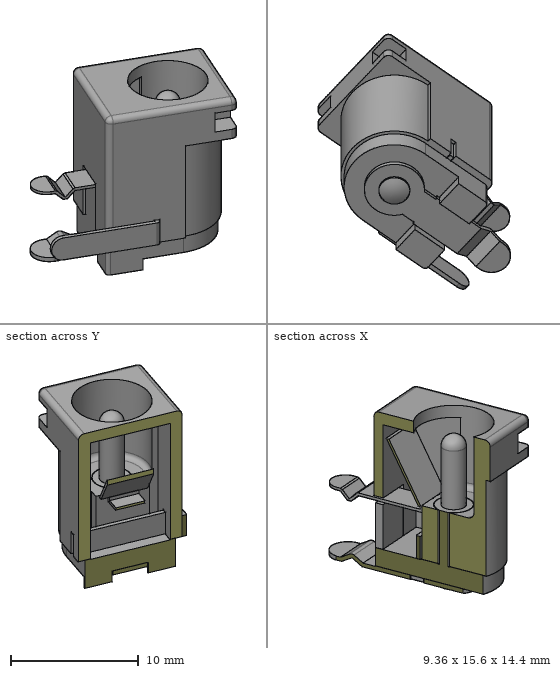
import cadquery as cq
import math


housing_width = 8.99
half_width = housing_width / 2
front_y = -6.47
back_y = 4.32
housing_height = 11.8
edge_radius = 0.5
collar_bottom = 8.28
barrel_radius = 4.2
corner_notch = 1.89
corner_notch_bottom = 9.11
corner_notch_top = 10.81

socket_radius = 3.15
socket_floor_radius = 2.67
socket_floor = 4.68
boss_hole_radius = 1.58

chamber_back_y = -1.2
chamber_front_y = -5.62
chamber_width = 6.86
chamber_top = 10.75
floor_block_width = 4.62
floor_block_front_y = -2.01

base_width = 7.83
base_radius = base_width / 2
base_arc_y = 0.03
base_front_y = -6.32
base_thickness = 1.62
base_edge_radius = 0.31
leg_back_y = -3.32
leg_drop = 0.98
leg_gap = 3.09
tongue_width = 2.96
tongue_top = 3.85
window_width = 3.09
window_top = 4.43
boss_radius = 1.55

pin_radius = 1.0
pin_tip = 10.75
rivet_radius = 1.22
rivet_rim = 0.15
rivet_dome = 0.27

tab_tip_y = -11.28

spring_thickness = 0.25
spring_tab_width = 2.53
spring_tab_bottom = 3.95
spring_bend_y = -8.07
spring_bend_length = 1.62
leaf_width = 4.02
leaf_foot_y = -2.07
leaf_foot = 4.52
leaf_angle = math.radians(60)
leaf_top = 9.67

terminal_thickness = 0.37
terminal_disc_radius = 2.35
terminal_neck_width = 2.71
terminal_neck_end_y = -3.09
terminal_tab_width = 3.0
terminal_bend_y = -7.44
terminal_bend_length = 2.09
terminal_bend_angle = math.radians(30)
terminal_crest_radius = 0.4

side_thickness = 0.37
side_bend_radius = 0.35
side_height = 1.98
side_back_y = -2.15
side_tip_y = -11.17
side_end_recess = 0.22
side_slot_clearance = 0.05


def block(x_range, y_range, z_range):
    """Box between the given limits."""
    (x0, x1), (y0, y1), (z0, z1) = x_range, y_range, z_range
    return cq.Workplane("XY").box(x1 - x0, y1 - y0, z1 - z0, centered=False).translate((x0, y0, z0))


def centred_block(width, y_range, z_range):
    """Box that is symmetric about the plane x = 0."""
    return block((-width / 2, width / 2), y_range, z_range)


def disc(radius, bottom, top):
    """Cylinder around the pin axis."""
    return cq.Workplane("XY").workplane(offset=bottom).circle(radius).extrude(top - bottom)


def round_tip(solid, width, z_range):
    """Trim the end of a tab pointing to -Y to a half circle across its width."""
    z0, z1 = z_range
    radius = width / 2
    centre_y = tab_tip_y + radius
    corners = centred_block(width, (tab_tip_y, centre_y), z_range)
    keep = disc(radius, z0, z1).translate((0, centre_y, 0))
    return solid.cut(corners.cut(keep))


def strip(profile, width):
    """Extrude a (y, z) profile symmetrically along X."""
    return cq.Workplane("YZ").polyline(profile).close().extrude(width / 2, both=True)


def make_housing():
    body = centred_block(housing_width, (front_y, back_y), (0, housing_height))
    body = body.edges("|Z or >Z").fillet(edge_radius)

    barrel = disc(barrel_radius, 0, collar_bottom)
    body = body.cut(centred_block(housing_width, (0, back_y), (0, collar_bottom)).cut(barrel))

    for side in (-1, 1):
        notch_x = sorted((side * half_width, side * (half_width - corner_notch)))
        notch_z = (corner_notch_bottom, corner_notch_top)
        body = body.cut(block(notch_x, (back_y - corner_notch, back_y), notch_z))

    socket = disc(socket_radius, socket_floor, housing_height)
    socket = socket.faces("<Z").edges().fillet(socket_radius - socket_floor_radius)
    chamber = centred_block(chamber_width, (chamber_front_y, chamber_back_y), (0, chamber_top))
    floor_block = centred_block(floor_block_width, (floor_block_front_y, chamber_back_y), (0, socket_floor))
    window = centred_block(window_width, (front_y, chamber_front_y), (0, window_top))
    boss_hole = disc(boss_hole_radius, 0, socket_floor)
    body = body.cut(socket).cut(chamber.cut(floor_block)).cut(window).cut(boss_hole)

    slot_y = (side_back_y - side_thickness - side_slot_clearance, side_back_y + side_slot_clearance)
    slot = centred_block(housing_width, slot_y, (0, side_height + side_slot_clearance))
    return body.cut(slot)


def make_base():
    plate = (
        cq.Workplane("XY")
        .moveTo(-base_radius, base_front_y)
        .lineTo(base_radius, base_front_y)
        .lineTo(base_radius, base_arc_y)
        .threePointArc((0, base_arc_y + base_radius), (-base_radius, base_arc_y))
        .close()
        .extrude(-base_thickness - leg_drop)
        .edges("|Z and <Y")
        .fillet(base_edge_radius)
    )
    drop_z = (-base_thickness - leg_drop, -base_thickness)
    plate = plate.cut(centred_block(base_width, (leg_back_y, base_arc_y + base_radius), drop_z))
    plate = plate.cut(centred_block(leg_gap, (base_front_y, leg_back_y), drop_z))

    tongue = centred_block(tongue_width, (base_front_y, chamber_front_y), (0, tongue_top))
    boss = disc(boss_radius, 0, socket_floor)
    pin_hole = disc(pin_radius, -base_thickness, socket_floor)
    return plate.union(tongue).union(boss).cut(pin_hole)


def make_pin():
    """Round-nosed pin with a domed rivet head under the pin terminal."""
    terminal_bottom = -base_thickness - terminal_thickness
    rim_bottom = terminal_bottom - rivet_rim
    nose_centre = pin_tip - pin_radius
    slant = pin_radius * math.sqrt(0.5)
    dome_radius = (rivet_radius**2 + rivet_dome**2) / (2 * rivet_dome)
    dome_centre = rim_bottom - rivet_dome + dome_radius
    half_rim = rivet_radius / 2
    dome_mid = (half_rim, dome_centre - math.sqrt(dome_radius**2 - half_rim**2))
    return (
        cq.Workplane("XZ")
        .moveTo(0, pin_tip)
        .threePointArc((slant, nose_centre + slant), (pin_radius, nose_centre))
        .lineTo(pin_radius, terminal_bottom)
        .lineTo(rivet_radius, terminal_bottom)
        .lineTo(rivet_radius, rim_bottom)
        .threePointArc(dome_mid, (0, rim_bottom - rivet_dome))
        .close()
        .revolve(360, (0, 0, 0), (0, 1, 0))
    )


def make_spring():
    """Flat tab with a V-shaped kink, a riser, and a wider leaf leaning away from the pin."""
    bottom = spring_tab_bottom
    top = bottom + spring_thickness
    half_bend = spring_bend_length / 2
    bend_end_y = spring_bend_y - spring_bend_length
    valley_y = spring_bend_y - half_bend
    facet = spring_thickness * math.sqrt(0.5)
    valley_z = bottom - half_bend + 2 * facet
    tab = strip(
        [
            (leaf_foot_y, bottom),
            (leaf_foot_y, leaf_foot),
            (leaf_foot_y - spring_thickness, leaf_foot),
            (leaf_foot_y - spring_thickness, top),
            (spring_bend_y, top),
            (spring_bend_y - facet, bottom + facet),
            (valley_y, valley_z),
            (bend_end_y + facet, bottom + facet),
            (bend_end_y, top),
            (tab_tip_y, top),
            (tab_tip_y, bottom),
            (bend_end_y, bottom),
            (valley_y - facet, valley_z - facet),
            (valley_y + facet, valley_z - facet),
            (spring_bend_y, bottom),
        ],
        spring_tab_width,
    )
    tab = round_tip(tab, spring_tab_width, (bottom, top))

    leaf_top_y = leaf_foot_y - (leaf_top - leaf_foot) / math.tan(leaf_angle)
    leaf_depth = spring_thickness / math.sin(leaf_angle)
    leaf = strip(
        [
            (leaf_foot_y, leaf_foot),
            (leaf_top_y, leaf_top),
            (leaf_top_y - leaf_depth, leaf_top),
            (leaf_foot_y - leaf_depth, leaf_foot),
        ],
        leaf_width,
    )
    return tab.union(leaf)


def make_pin_terminal():
    """Disc under the base with a tab that has one raised crest."""
    top = -base_thickness
    bottom = top - terminal_thickness
    crest_y = terminal_bend_y - terminal_bend_length / 2
    bend_end_y = terminal_bend_y - terminal_bend_length
    crest_z = top + terminal_bend_length / 2 * math.tan(terminal_bend_angle)
    mitre = terminal_thickness * math.tan(terminal_bend_angle / 2)
    tab = strip(
        [
            (terminal_neck_end_y, top),
            (terminal_bend_y, top),
            (crest_y, crest_z),
            (bend_end_y, top),
            (tab_tip_y, top),
            (tab_tip_y, bottom),
            (bend_end_y + mitre, bottom),
            (crest_y, crest_z - terminal_thickness / math.cos(terminal_bend_angle)),
            (terminal_bend_y - mitre, bottom),
            (terminal_neck_end_y, bottom),
        ],
        terminal_tab_width,
    )
    tab = tab.edges(">Z").fillet(terminal_crest_radius)
    tab = round_tip(tab, terminal_tab_width, (bottom, top))
    neck = centred_block(terminal_neck_width, (terminal_neck_end_y, 0), (bottom, top))
    head = disc(terminal_disc_radius, bottom, top).union(neck)
    return head.union(tab).cut(disc(pin_radius, bottom, top))


def make_side_terminal():
    """L-shaped strip: one leg crosses the housing, the other lies along its +X side."""
    outer_x = half_width + side_thickness
    z_range = (0, side_height)
    tip_radius = side_height / 2
    cross_x = (-half_width + side_end_recess, outer_x)
    cross_leg = block(cross_x, (side_back_y - side_thickness, side_back_y), z_range)
    side_leg = (
        cq.Workplane("YZ")
        .workplane(offset=half_width)
        .moveTo(side_back_y, 0)
        .lineTo(side_back_y, side_height)
        .lineTo(side_tip_y + tip_radius, side_height)
        .threePointArc((side_tip_y, tip_radius), (side_tip_y + tip_radius, 0))
        .close()
        .extrude(side_thickness)
    )
    return cross_leg.union(side_leg).edges("|Z and >X and >Y").fillet(side_bend_radius)


housing = make_housing()
base = make_base()
pin = make_pin()
spring = make_spring()
pin_terminal = make_pin_terminal()
side_terminal = make_side_terminal()

result = cq.Compound.makeCompound(
    [
        housing.val(),
        base.val(),
        pin.val(),
        spring.val(),
        pin_terminal.val(),
        side_terminal.val(),
    ]
)